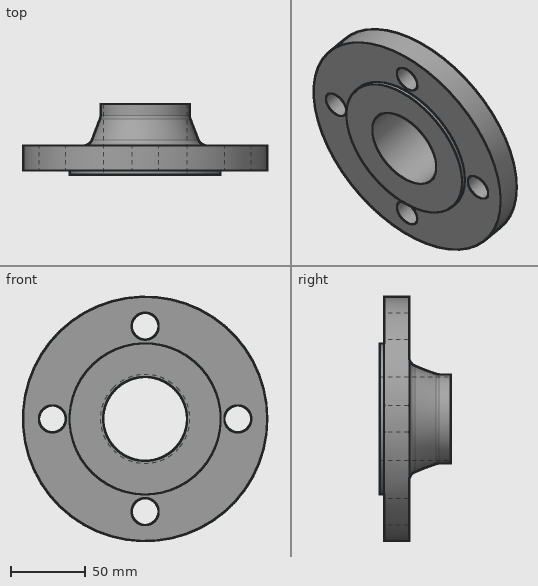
import cadquery as cq

flange_diameter = 165.0
flange_thickness = 17.0
face_diameter = 102.0
face_height = 3.0

total_length = 48.0
neck_diameter = 60.2
neck_straight_length = 9.0
cone_base_diameter = 74.9
neck_fillet = 6.0

bore_diameter = 56.5
bolt_circle_diameter = 125.0
bolt_hole_diameter = 18.0
bolt_count = 4

flange_front = face_height
flange_back = flange_front + flange_thickness
cone_end = total_length - neck_straight_length


def make_body():
    """Revolved body: flange, raised face and tapered neck."""
    profile = (
        cq.Workplane("XY")
        .moveTo(0, 0)
        .lineTo(face_diameter / 2, 0)
        .lineTo(face_diameter / 2, flange_front)
        .lineTo(flange_diameter / 2, flange_front)
        .lineTo(flange_diameter / 2, flange_back)
        .lineTo(cone_base_diameter / 2, flange_back)
        .lineTo(neck_diameter / 2, cone_end)
        .lineTo(neck_diameter / 2, total_length)
        .lineTo(0, total_length)
        .close()
    )
    return profile.revolve(360, (0, 0, 0), (0, 1, 0))


def round_cone_ends(body):
    """Blend the cone into the flange and into the straight neck."""
    margin = 0.2
    reach = cone_base_diameter / 2 + margin
    cone_edges = cq.selectors.BoxSelector(
        (-reach, flange_back - margin, -reach),
        (reach, cone_end + margin, reach),
        boundingbox=True,
    )
    return body.edges("%CIRCLE").edges(cone_edges).fillet(neck_fillet)


def make_holes():
    """Through cutters for the bore and the bolt circle."""
    plane = cq.Workplane("XZ")
    bore = plane.circle(bore_diameter / 2).extrude(-total_length)
    bolts = (
        plane.polarArray(bolt_circle_diameter / 2, 0, 360, bolt_count)
        .circle(bolt_hole_diameter / 2)
        .extrude(-flange_back)
    )
    return bore, bolts


bore_cutter, bolt_cutters = make_holes()
result = round_cone_ends(make_body()).cut(bore_cutter).cut(bolt_cutters)